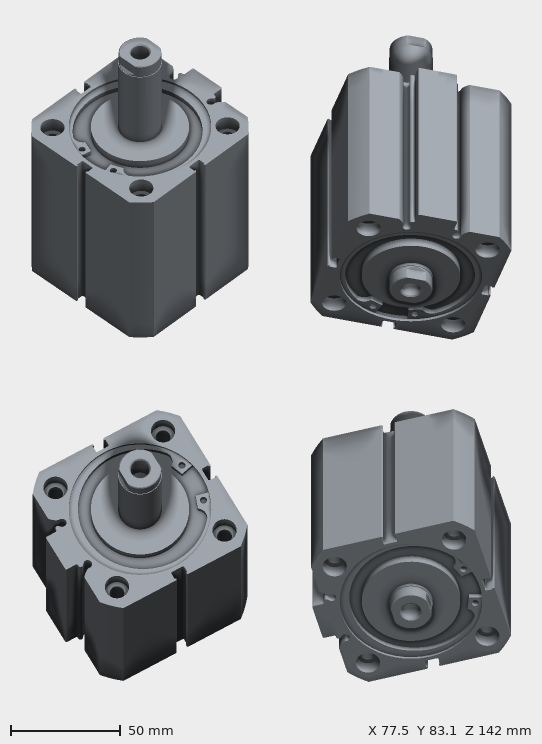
import cadquery as cq
import math


housing_side = 77.5
housing_half = housing_side / 2
housing_height = 86.0
corner_turning_radius = 49.5
bore_radius = 32.5

slot_depth = 4.5
slot_floor = housing_half - slot_depth
slot_width = 6.7
slot_mouth_width = 5.4
slot_lip = 1.0
slot_chamfer = 0.4

rail_width = 18.6
rail_top = 44.3
rail_corner_radius = 0.7
pocket_x = 11.8
pocket_y = 34.2
pocket_radius = 2.0
bead_x = 10.4
bead_y = 37.2
bead_radius = 1.1
channel_mouth_x = 16.8
channel_wall_middle = (14.9, 37.0)
pocket_wall_angle = math.radians(162)
pocket_rail_angle = math.radians(45)

bolt_spacing = 56.5
bolt_hole_diameter = 6.8
counterbore_diameter = 11.1
counterbore_depth = 7.2

groove_radius = 34.0
groove_offset = 1.3
groove_width = 3.0
ring_thickness = 2.5
ring_inner_radius = 29.7
ring_inner_shift = 1.5
ring_gap_half_angle = math.radians(13.6)
lug_tip_angle = math.radians(27.5)
lug_tip_radius = 26.4
lug_fillet_middle = (15.3, -25.4)
lug_foot_x = 18.3
lug_hole_x = 10.0
lug_hole_y = -27.7
lug_hole_diameter = 3.3

cover_seat_depth = groove_offset + groove_width
cover_thickness = 12.0
boss_radius = 22.5

rod_length = 142.0
rod_diameter = 20.0
rod_lower_reach = 8.1
rod_bottom = -rod_lower_reach
rod_top = rod_bottom + rod_length
neck_diameter = 19.5
neck_length = 6.5
neck_chamfer = 0.4
flat_distance = 17.0
flat_length = 5.1
tap_diameter = 8.8
tap_depth = 15.0
tap_chamfer = 0.5
drill_tip_angle = math.radians(118)


def plate(radius, bottom, height):
    """Round disc on the rod axis."""
    return cq.Workplane("XY").workplane(offset=bottom).circle(radius).extrude(height)


def flip_end(body):
    """Copy a body of the upper end to the lower end of the housing."""
    mid_height = (0, 0, housing_height / 2)
    return body.mirror("XY", mid_height)


def slot_cutter():
    """T-slot on the -Y side, running the full height, bevelled at its mouth and in its floor corners."""
    wide = slot_width / 2
    mouth = slot_mouth_width / 2
    lip_y = slot_lip - housing_half
    half_profile = [
        (0, -slot_floor),
        (wide - slot_chamfer, -slot_floor),
        (wide, -slot_floor - slot_chamfer),
        (wide, lip_y),
        (mouth, lip_y),
        (mouth, slot_chamfer - housing_half),
        (mouth + slot_chamfer, -housing_half),
        (0, -housing_half),
    ]
    half_slot = cq.Workplane("XY").polyline(half_profile).close().extrude(housing_height)
    return half_slot.union(half_slot.mirror("YZ"))


def pocket_point(angle):
    """Point on the round pocket at the foot of the +X channel, angle taken from the -X direction."""
    return (pocket_x - pocket_radius * math.cos(angle), pocket_y + pocket_radius * math.sin(angle))


def channel_cutter():
    """Undercut channel beside the rail on the +X side."""
    bead_lower = bead_radius * math.sqrt(0.5)
    bead_top = bead_y + bead_radius
    rail_x = rail_width / 2
    return (
        cq.Workplane("XY")
        .moveTo(channel_mouth_x, housing_half)
        .threePointArc(channel_wall_middle, pocket_point(pocket_wall_angle))
        .threePointArc((pocket_x, pocket_y - pocket_radius), pocket_point(pocket_rail_angle))
        .lineTo(bead_x + bead_lower, bead_y - bead_lower)
        .threePointArc((bead_x + bead_radius, bead_y), (bead_x, bead_top))
        .lineTo(rail_x + housing_half - bead_top, bead_top)
        .lineTo(rail_x, housing_half)
        .close()
        .extrude(housing_height)
    )


def make_rail():
    rail_height = rail_top - housing_half
    rail = cq.Workplane("XY").box(rail_width, rail_height, housing_height, centered=(True, False, False))
    return rail.translate((0, housing_half, 0)).edges("|Z and >Y").fillet(rail_corner_radius)


def make_housing():
    block = cq.Workplane("XY").box(housing_side, housing_side, housing_height, centered=(True, True, False))
    housing = block.intersect(plate(corner_turning_radius, 0, housing_height)).union(make_rail())

    for turn in (-90, 0, 90):
        housing = housing.cut(slot_cutter().rotate((0, 0, 0), (0, 0, 1), turn))

    channel = channel_cutter()
    housing = housing.cut(channel).cut(channel.mirror("YZ"))

    housing = housing.cut(plate(bore_radius, 0, housing_height))
    groove = plate(groove_radius, housing_height - cover_seat_depth, groove_width)
    housing = housing.cut(groove).cut(flip_end(groove))

    bolt_circles = cq.Workplane("XY").rect(bolt_spacing, bolt_spacing, forConstruction=True).vertices()
    bolt_holes = bolt_circles.circle(bolt_hole_diameter / 2).extrude(housing_height)
    counterbores = bolt_circles.circle(counterbore_diameter / 2).extrude(counterbore_depth)
    return housing.cut(bolt_holes).cut(counterbores).cut(flip_end(counterbores))


def make_upper_cover():
    seat_height = housing_height - cover_seat_depth
    cover = plate(bore_radius, seat_height - cover_thickness, cover_thickness)
    cover = cover.union(plate(boss_radius, seat_height, cover_seat_depth))
    return cover.cut(plate(rod_diameter / 2, 0, housing_height))


def lug_outline(side):
    """Lug at one end of the ring; side is 1 for +X and -1 for -X."""
    def toward_gap(radius, angle):
        return (side * radius * math.sin(angle), -radius * math.cos(angle))

    foot_y = -ring_inner_shift - math.sqrt(ring_inner_radius**2 - lug_foot_x**2)
    foot_angle = math.atan2(lug_foot_x, -foot_y)
    rim_end = toward_gap(groove_radius, ring_gap_half_angle)
    rim_middle = toward_gap(groove_radius, (ring_gap_half_angle + foot_angle) / 2)
    return (
        cq.Workplane("XY")
        .moveTo(*rim_end)
        .lineTo(*toward_gap(lug_tip_radius, ring_gap_half_angle))
        .lineTo(*toward_gap(lug_tip_radius, lug_tip_angle))
        .threePointArc((side * lug_fillet_middle[0], lug_fillet_middle[1]), (side * lug_foot_x, foot_y))
        .lineTo(*toward_gap(groove_radius, foot_angle))
        .threePointArc(rim_middle, rim_end)
        .close()
    )


def make_upper_ring():
    eccentric_hole = plate(ring_inner_radius, 0, ring_thickness).translate((0, -ring_inner_shift, 0))
    ring = plate(groove_radius, 0, ring_thickness).cut(eccentric_hole)

    gap_reach = 2 * groove_radius
    gap_half_width = gap_reach * math.tan(ring_gap_half_angle)
    gap_points = [(0, 0), (gap_half_width, -gap_reach), (-gap_half_width, -gap_reach)]
    ring = ring.cut(cq.Workplane("XY").polyline(gap_points).close().extrude(ring_thickness))

    for side in (-1, 1):
        ring = ring.union(lug_outline(side).extrude(ring_thickness))
    hole_places = [(-lug_hole_x, lug_hole_y), (lug_hole_x, lug_hole_y)]
    hole_circles = cq.Workplane("XY").pushPoints(hole_places).circle(lug_hole_diameter / 2)
    ring = ring.cut(hole_circles.extrude(ring_thickness))
    return ring.translate((0, 0, housing_height - cover_seat_depth))


def rod_end_cutter():
    """Everything removed at the upper rod end: neck, wrench flats and tapped hole."""
    neck_bottom = rod_top - neck_length
    neck = plate(neck_diameter / 2, neck_bottom, neck_length).faces(">Z").chamfer(neck_chamfer)
    cutter = plate(rod_diameter / 2, neck_bottom, neck_length).cut(neck)

    flat_y = flat_distance / 2
    flat_bottom = rod_top - flat_length
    flat_profile = [
        (flat_y, rod_top),
        (flat_y, flat_bottom),
        (flat_y + flat_length, flat_bottom - flat_length),
        (flat_y + flat_length, rod_top),
    ]
    flat = cq.Workplane("YZ").polyline(flat_profile).close().extrude(rod_diameter / 2, both=True)
    cutter = cutter.union(flat).union(flat.mirror("XZ"))

    tap_radius = tap_diameter / 2
    tap_bottom = rod_top - tap_depth
    tip_length = tap_radius / math.tan(drill_tip_angle / 2)
    tap = (
        cq.Workplane("XZ")
        .moveTo(0, rod_top)
        .lineTo(tap_radius + tap_chamfer, rod_top)
        .lineTo(tap_radius, rod_top - tap_chamfer)
        .lineTo(tap_radius, tap_bottom)
        .lineTo(0, tap_bottom - tip_length)
        .close()
        .revolve(360, (0, 0, 0), (0, 1, 0))
    )
    return cutter.union(tap)


def make_rod():
    rod = plate(rod_diameter / 2, rod_bottom, rod_length)
    upper_cut = rod_end_cutter()
    lower_cut = upper_cut.mirror("XY", (0, 0, rod_bottom + rod_length / 2))
    return rod.cut(upper_cut).cut(lower_cut)


housing = make_housing()
rod = make_rod()
upper_cover = make_upper_cover()
upper_ring = make_upper_ring()

bodies = [housing.solids().val(), rod.solids().val()]
for end_body in (upper_cover, upper_ring):
    bodies.append(end_body.solids().val())
    bodies.append(flip_end(end_body).solids().val())

result = cq.Compound.makeCompound(bodies)